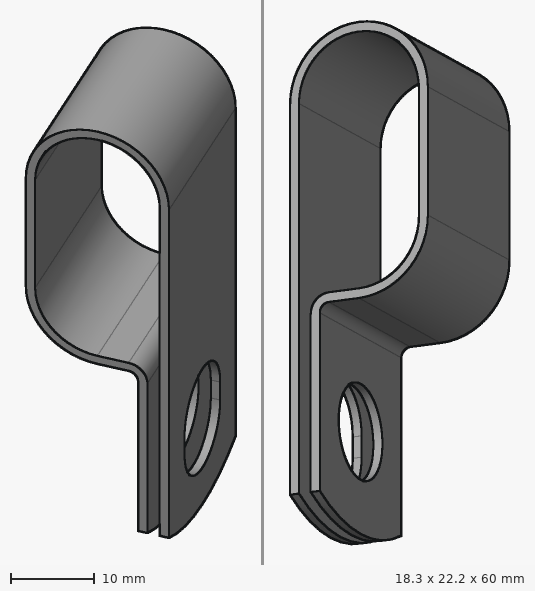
import cadquery as cq
import math

height = 59.95
width = 22.25
thickness = 1.2

loop_width = 18.3
loop_straight = 15.9
outer_radius = loop_width / 2
inner_radius = outer_radius - thickness
upper_center_z = height - outer_radius
lower_center_z = upper_center_z - loop_straight
floor_top_z = lower_center_z - inner_radius
floor_bottom_z = lower_center_z - outer_radius

leg_gap = 1.55
bend_outer_radius = 2.4
bend_inner_radius = bend_outer_radius - thickness
short_leg_right = inner_radius - leg_gap
short_leg_left = short_leg_right - thickness
bend_center_x = short_leg_right - bend_outer_radius
bend_center_z = floor_top_z - bend_outer_radius

hole_diameter = 11.9
hole_z = 12.65
slot_straight = 2.65
slot_length = hole_diameter + slot_straight

tip_radius = 25.5


def bend_middle(radius):
    """Midpoint of the quarter bend between the loop floor and the short leg."""
    offset = radius * math.sqrt(0.5)
    return bend_center_x + offset, bend_center_z + offset


def lower_arc_middle(radius):
    """Midpoint of the quarter arc at the lower left of the loop."""
    offset = radius * math.sqrt(0.5)
    return -offset, lower_center_z - offset


def make_strap():
    """Side profile of the bent strip, extruded over its width."""
    return (
        cq.Workplane("XZ")
        .moveTo(outer_radius, 0)
        .lineTo(outer_radius, upper_center_z)
        .threePointArc((0, height), (-outer_radius, upper_center_z))
        .lineTo(-outer_radius, lower_center_z)
        .threePointArc(lower_arc_middle(outer_radius), (0, floor_bottom_z))
        .lineTo(bend_center_x, floor_bottom_z)
        .threePointArc(bend_middle(bend_inner_radius), (short_leg_left, bend_center_z))
        .lineTo(short_leg_left, 0)
        .lineTo(short_leg_right, 0)
        .lineTo(short_leg_right, bend_center_z)
        .threePointArc(bend_middle(bend_outer_radius), (bend_center_x, floor_top_z))
        .lineTo(0, floor_top_z)
        .threePointArc(lower_arc_middle(inner_radius), (-inner_radius, lower_center_z))
        .lineTo(-inner_radius, upper_center_z)
        .threePointArc((0, height - thickness), (inner_radius, upper_center_z))
        .lineTo(inner_radius, 0)
        .close()
        .extrude(width / 2, both=True)
    )


def make_tip_envelope():
    """Block with a rounded lower edge that trims the leg tips."""
    half_width = width / 2
    tip_corner_z = tip_radius - math.sqrt(tip_radius**2 - half_width**2)
    return (
        cq.Workplane("YZ")
        .moveTo(-half_width, height)
        .lineTo(-half_width, tip_corner_z)
        .threePointArc((0, 0), (half_width, tip_corner_z))
        .lineTo(half_width, height)
        .close()
        .extrude(loop_width / 2, both=True)
    )


def make_round_hole():
    """Cylinder along X, from the short leg into the gap between the legs."""
    return (
        cq.Workplane("YZ", origin=(0, 0, hole_z))
        .circle(hole_diameter / 2)
        .extrude(inner_radius)
    )


def make_slot():
    """Upright slot through the long leg, centred on the round hole."""
    return (
        cq.Workplane("YZ", origin=(inner_radius, 0, hole_z))
        .slot2D(slot_length, hole_diameter, 90)
        .extrude(thickness)
    )


strap = make_strap().intersect(make_tip_envelope())
result = strap.cut(make_round_hole()).cut(make_slot())